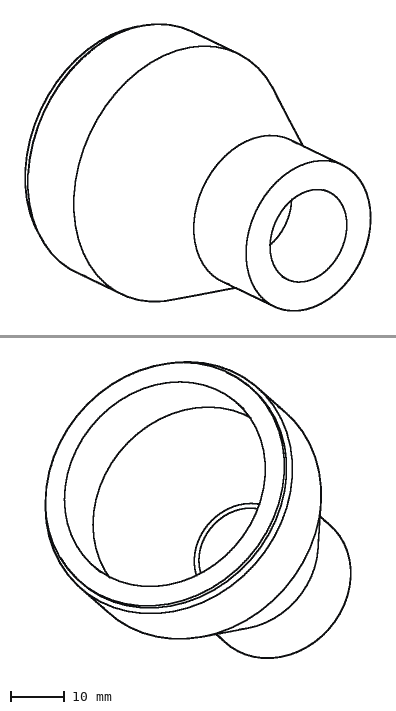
import cadquery as cq

length = 55.5

lip_diameter = 48.35
body_diameter = 50.0
neck_diameter = 29.4
lip_length = 1.1
body_end = 16.05
neck_start = 39.45
chamfer = (body_diameter - lip_diameter) / 2

wide_bore_diameter = 40.6
throat_diameter = 20.0
narrow_bore_diameter = 18.1
inner_cone_start = 14.0
inner_cone_end = 38.6


def revolve_profile(stations):
    """Revolve (position, diameter) stations, closed along the axis, about X."""
    points = [(x, diameter / 2) for x, diameter in stations]
    first_x = points[0][0]
    last_x = points[-1][0]
    profile = cq.Workplane("XY").polyline([(first_x, 0), *points, (last_x, 0)]).close()
    return profile.revolve(360, (0, 0, 0), (1, 0, 0))


outer_body = revolve_profile([
    (0, lip_diameter),
    (lip_length, lip_diameter),
    (lip_length + chamfer, body_diameter),
    (body_end, body_diameter),
    (neck_start, neck_diameter),
    (length, neck_diameter),
])

passage = revolve_profile([
    (0, wide_bore_diameter),
    (inner_cone_start, wide_bore_diameter),
    (inner_cone_end, throat_diameter),
    (inner_cone_end, narrow_bore_diameter),
    (length, narrow_bore_diameter),
])

result = outer_body.cut(passage)